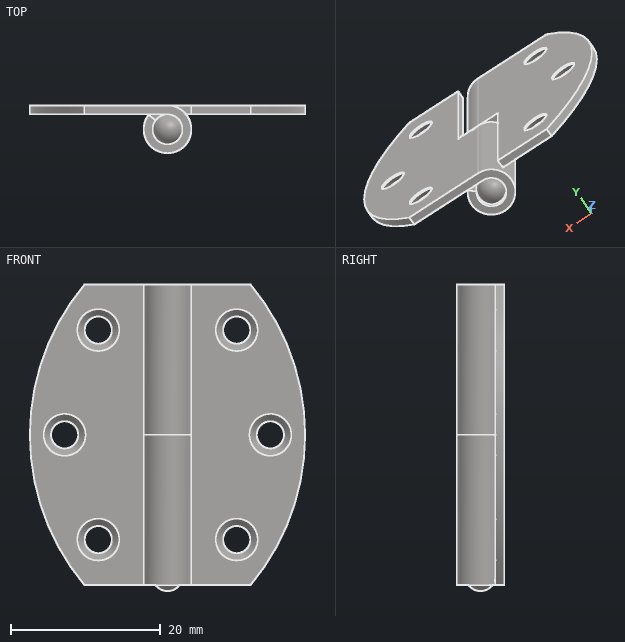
import cadquery as cq
import math

leaf_height = 40.2
overall_width = 36.83
end_half_width = 11.1
thickness = 1.2

knuckle_radius = 3.2
bore_radius = knuckle_radius - thickness
roll_end_angle = 142.5

hole_diameter = 3.6
countersink_diameter = 5.6
countersink_angle = 90
outer_hole_x = 9.25
outer_hole_z = 14.0
middle_hole_x = 13.75

pin_radius = bore_radius
pin_length = 41.0

half_height = leaf_height / 2
half_width = overall_width / 2
plate_back = knuckle_radius
plate_front = bore_radius


def make_plate():
    """Plate on the -X side, full height, ending at the hinge axis."""
    outline = (
        cq.Workplane("XZ", origin=(0, plate_back, 0))
        .moveTo(0, half_height)
        .lineTo(-end_half_width, half_height)
        .threePointArc((-half_width, 0), (-end_half_width, -half_height))
        .lineTo(0, -half_height)
        .close()
    )
    return outline.extrude(thickness)


def make_notch():
    """Clearance in the lower half of the plate for the other leaf's knuckle."""
    corner = (-knuckle_radius, 0, -half_height)
    return cq.Workplane("XY", origin=corner).box(
        knuckle_radius, knuckle_radius, half_height, centered=False
    )


def make_knuckle():
    """Open roll on the upper half, running clockwise from the top of the bore to its end."""
    def on_circle(radius, degrees):
        angle = math.radians(degrees)
        return (radius * math.cos(angle), radius * math.sin(angle))

    middle_angle = (90 + roll_end_angle - 360) / 2
    outer_end = on_circle(knuckle_radius, roll_end_angle)
    inner_end = on_circle(bore_radius, roll_end_angle)
    return (
        cq.Workplane("XY")
        .moveTo(0, knuckle_radius)
        .threePointArc(on_circle(knuckle_radius, middle_angle), outer_end)
        .lineTo(*inner_end)
        .threePointArc(on_circle(bore_radius, middle_angle), (0, bore_radius))
        .close()
        .extrude(half_height)
    )


def make_leaf():
    """Left leaf: notched plate with three countersunk holes and a knuckle on its upper half."""
    hole_centers = [
        (-outer_hole_x, outer_hole_z),
        (-middle_hole_x, 0),
        (-outer_hole_x, -outer_hole_z),
    ]
    plate = (
        make_plate()
        .cut(make_notch())
        .copyWorkplane(cq.Workplane("XZ", origin=(0, plate_front, 0)))
        .pushPoints(hole_centers)
        .cskHole(hole_diameter, countersink_diameter, countersink_angle)
    )
    return plate.union(make_knuckle())


def make_pin():
    """Half of the pin's lengthwise section, revolved about the hinge axis."""
    top = half_height
    bottom = top - pin_length
    dome_offset = pin_radius * math.sqrt(0.5)
    lower_center = bottom + pin_radius
    upper_center = top - pin_radius
    return (
        cq.Workplane("XZ")
        .moveTo(0, bottom)
        .threePointArc((dome_offset, lower_center - dome_offset), (pin_radius, lower_center))
        .lineTo(pin_radius, upper_center)
        .threePointArc((dome_offset, upper_center + dome_offset), (0, top))
        .close()
        .revolve(360, (0, 0, 0), (0, 1, 0))
    )


leaves = [make_leaf().rotate((0, 0, 0), (0, 1, 0), turn) for turn in (0, 180)]
pin = make_pin()

leaf_solids = [leaf.val() for leaf in leaves]
result = cq.Compound.makeCompound([*leaf_solids, pin.val()])